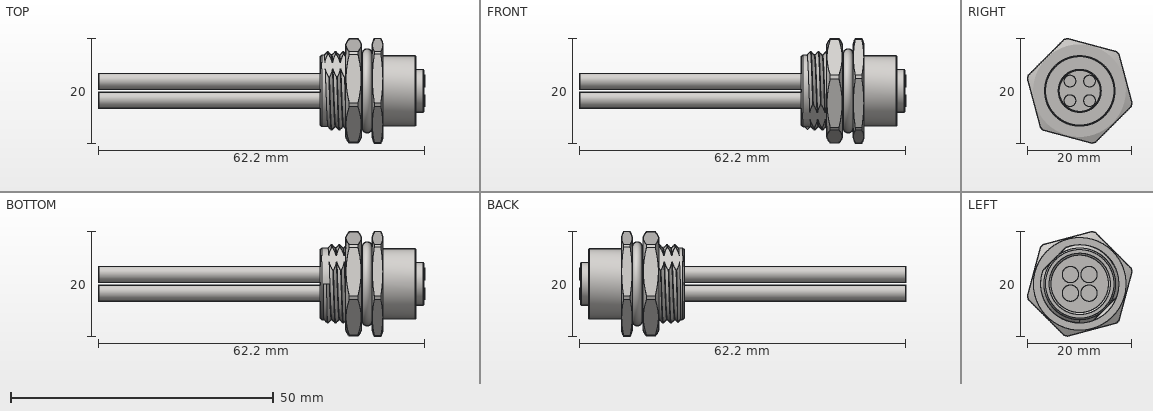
import cadquery as cq
import math


wire_end = 0.0
shell_start = 42.25
nut_start = 47.1
nut_end = 50.15
flange_start = 52.1
flange_end = 54.25
body_end = 60.5
insert_end = 62.0
socket_end = 62.2

wire_radius = 1.55
wire_pitch = 3.55

shell_radius = 6.85
shell_chamfer = 0.3
mouth_radius = 5.85
potting_radius = 5.5
potting_depth = 0.25
flat_distance = 6.8
flat_direction = 45.0

thread_radius = 7.45
thread_pitch = 1.5
thread_setback = 1.05
thread_start = shell_start + thread_setback
lead_in_setback = 0.7
lead_in_start = shell_start + lead_in_setback
thread_turns = 3
thread_base_width = 1.35
thread_crest_width = 0.1
thread_root_overlap = 0.03

hex_corner_direction = 45.0
hex_face_radius = 8.85
nut_across_flats = 18.05
nut_corner_radius = 10.2
nut_chamfer = 0.7
nut_runout_depth = 0.7
flange_across_flats = 18.1
flange_corner_radius = 10.25
flange_chamfer = 0.45

ring_section_radius = 0.95
ring_outer_radius = 8.0

clearance = 0.6

body_radius = 6.7
insert_radius = 4.1
edge_chamfer = 0.2
socket_radius = 1.1
socket_pitch = 3.75


def turned(profile):
    """Revolve a closed outline of (x, radius) points about the X axis."""
    return cq.Workplane("XY").polyline(profile).close().revolve(360, (0, 0, 0), (1, 0, 0))


def cylinder(start, end, radius):
    """Round bar about the X axis."""
    return cq.Workplane("YZ", origin=(start, 0, 0)).circle(radius).extrude(end - start)


def four_cylinders(start, end, radius, pitch):
    """Four round bars along X, on a square of the given pitch."""
    plane = cq.Workplane("YZ", origin=(start, 0, 0))
    return plane.rarray(pitch, pitch, 2, 2).circle(radius).extrude(end - start)


def thread():
    """Right-handed ridge, cut to a 45-degree lead-in cone where it starts."""
    length = thread_turns * thread_pitch
    depth = thread_radius - shell_radius
    flank_slope = (thread_base_width - thread_crest_width) / 2 / depth
    foot_radius = shell_radius - thread_root_overlap
    foot = thread_base_width / 2 + thread_root_overlap * flank_slope
    crest = thread_crest_width / 2
    helix = cq.Wire.makeHelix(thread_pitch, length, shell_radius)
    ridge = (
        cq.Workplane("XZ")
        .polyline([
            (foot_radius, -foot),
            (thread_radius, -crest),
            (thread_radius, crest),
            (foot_radius, foot),
        ])
        .close()
        .sweep(cq.Workplane(obj=helix), isFrenet=True)
    )
    ridge = ridge.rotate((0, 0, 0), (0, 1, 0), 90).translate((thread_start, 0, 0))
    envelope = turned([
        (shell_start, 0),
        (nut_end, 0),
        (nut_end, thread_radius + clearance),
        (lead_in_start + depth + clearance, thread_radius + clearance),
        (lead_in_start, shell_radius),
        (shell_start, shell_radius),
    ])
    return ridge.intersect(envelope)


def threaded_shell():
    """Round threaded shell with a recessed, potted mouth."""
    shell = cylinder(shell_start, flange_end, shell_radius).faces("<X").chamfer(shell_chamfer)
    mouth = turned([
        (shell_start, 0),
        (shell_start, mouth_radius),
        (shell_start + potting_depth, potting_radius),
        (shell_start + potting_depth, 0),
    ])
    return shell.union(thread()).cut(mouth)


def outside_flat(side):
    """Block beyond one flat of the shell: side is 1 for +Y+Z or -1 for -Y-Z."""
    start = shell_start - clearance
    length = flange_end - start
    return (
        cq.Workplane("XY")
        .box(length, thread_radius, 2 * thread_radius)
        .translate((start + length / 2, side * (flat_distance + thread_radius / 2), 0))
        .rotate((0, 0, 0), (1, 0, 0), flat_direction)
    )


def flats_waste():
    """Material ahead of the nut that lies beyond the two flats."""
    ahead_of_nut = cylinder(shell_start, nut_start, thread_radius + clearance)
    both_sides = outside_flat(1).union(outside_flat(-1))
    return both_sides.intersect(ahead_of_nut)


def nut_thread_runout():
    """Sloping opening left by the nut's thread beside the -Y-Z flat."""
    runout = turned([
        (nut_start, 0),
        (nut_start, thread_radius),
        (nut_start + nut_runout_depth, flat_distance),
        (nut_start + nut_runout_depth, 0),
    ])
    return runout.intersect(outside_flat(-1))


def chamfered_hexagon(start, end, across_flats, corner_radius, chamfer):
    """Hexagonal plate with turned corners and conical chamfers on both faces."""
    plate = (
        cq.Workplane("YZ", origin=(start, 0, 0))
        .polygon(6, across_flats / math.cos(math.radians(30)))
        .extrude(end - start)
        .rotate((0, 0, 0), (1, 0, 0), hex_corner_direction)
    )
    blank = turned([
        (start, 0),
        (start, hex_face_radius),
        (start + chamfer, corner_radius),
        (end - chamfer, corner_radius),
        (end, hex_face_radius),
        (end, 0),
    ])
    return plate.intersect(blank)


def o_ring():
    """Round-section ring touching the flange."""
    centre_radius = ring_outer_radius - ring_section_radius
    centre_x = flange_start - ring_section_radius
    section = cq.Workplane("XY").center(centre_x, centre_radius).circle(ring_section_radius)
    return section.revolve(360, (-centre_x, -centre_radius, 0), (0.6 - centre_x, -centre_radius, 0))


wires = four_cylinders(wire_end, shell_start + potting_depth, wire_radius, wire_pitch)
nut = chamfered_hexagon(nut_start, nut_end, nut_across_flats, nut_corner_radius, nut_chamfer)
flange = chamfered_hexagon(flange_start, flange_end, flange_across_flats, flange_corner_radius, flange_chamfer)
body = cylinder(flange_end, body_end, body_radius).faces(">X").chamfer(edge_chamfer)
insert = cylinder(body_end, insert_end, insert_radius).faces(">X").chamfer(edge_chamfer)
sockets = four_cylinders(insert_end, socket_end, socket_radius, socket_pitch)

result = threaded_shell().cut(flats_waste())
result = result.union(nut).cut(nut_thread_runout())
for piece in (o_ring(), flange, body, insert, sockets, wires):
    result = result.union(piece)